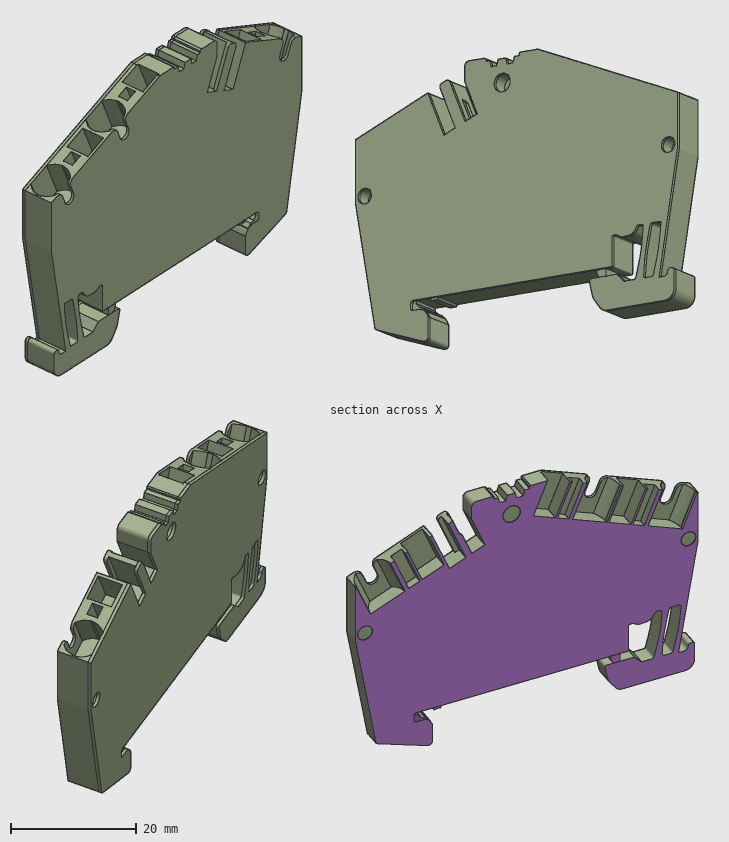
import cadquery as cq
import math

WIDTH = 6.1
LENGTH = 61.4
HEIGHT = 45.1
COVER_THICKNESS = 0.55
TILT = math.radians(22.5)
SIN, COS, TAN = math.sin(TILT), math.cos(TILT), math.tan(TILT)
HALF_LENGTH = LENGTH / 2

ROOF_FRONT_Y = -4.1
FRONT_SHOULDER_Z = HEIGHT - (HALF_LENGTH + ROOF_FRONT_Y) * TAN
BACK_SHOULDER_Z = 35.25
WAIST_Z = 24.8
ROOF_BACK_Y = 9.9

SLOT_ORIGIN_Y, SLOT_ORIGIN_Z = 13.8, 33.5
REAR_SLOT_WIDTH = 2.35
TONGUE_THICKNESS = 2.0
TONGUE_HEIGHT = 8.15
TONGUE_TIP_RADIUS = 0.6
SLOTS_TOTAL_WIDTH = 6.8
REAR_WEB_RECESS = 0.8
FRONT_WEB_RECESS = 0.3
FLANGE_THICKNESS = 0.7
RIB_X, RIB_WIDTH = 3.0, 0.9
RIB_HEIGHT, RIB_RAMP_HEIGHT = 5.05, 4.25
RIB_PROJECTION = 0.3

ROOF_STEP_Z = 44.6
ROOF_STEP_BACK_Y, ROOF_STEP_FRONT_Y = 5.8, -0.5
GROOVES = [(5.1, 3.5), (2.1, 0.35)]
GROOVE_FLOOR_Z = 43.55
GROOVE_TAPER = 0.3
ROOF_EDGE_DROP = 0.25
ROOF_BACK_BEVEL, ROOF_FRONT_BEVEL = 0.35, 0.2

SEAT_Z = 7.05
HOOK_NOTCH_Y = 20.15
HOOK_LEDGE_Z = 5.4
HOOK_TIP_Y = 16.8
SEAT_FRONT_Y = -18.25
FOOT_TOP_Z = 5.65
SPRING_TOP_Z = 13.2
SPRING_BOTTOM_Z = 4.3
LEG_BEND_RADIUS = 30.7
SEAT_PAD_HEIGHT = 0.35

LOCATING_HOLES = [(28.9, 25.65, 1.3), (-28.9, 25.65, 1.3), (2.7, 40.6, 1.55)]
LOCATING_HOLE_DEPTH = 3.1

FRONT, BACK = -1, 1
WELL_DEPTH = 6.75
FRONT_TERMINAL_Y = -5.8
FRONT_TERMINAL_PITCH = 13.5
FRONT_TERMINAL_COUNT = 2
BACK_TERMINAL_Y = 19.35
WELL_LEFT_X, WELL_RIGHT_X = 1.2, 5.6
DRIVER_WELL_LENGTH = 4.2
TEST_OFFSET, TEST_X, TEST_WIDTH, TEST_LENGTH = 3.6, 3.45, 1.9, 2.1
WIRE_OFFSET, WIRE_X, WIRE_RADIUS = 8.8, 3.1, 3.25
OUTER_FLAT_WIDTH, INNER_FLAT_WIDTH = 0.9, 0.5
FLAT_DEPTH = 0.03
NOTCH_WIDTH, NOTCH_DEPTH, NOTCH_FLARE = 2.2, 4.0, 1.1


def prism(corners, x_start, x_end):
    """Extrude a closed (Y, Z, corner radius) outline along X from x_start to x_end."""
    count = len(corners)
    runs = []
    for i in range(count):
        y, z, radius = corners[i]
        here = cq.Vector(y, z)
        if radius == 0:
            runs.append([here])
            continue
        back = (cq.Vector(*corners[i - 1][:2]) - here).normalized()
        ahead = (cq.Vector(*corners[(i + 1) % count][:2]) - here).normalized()
        half_angle = back.getAngle(ahead) / 2
        trim = radius / math.tan(half_angle)
        bisector = (back + ahead).normalized()
        middle = here + bisector * (radius / math.sin(half_angle) - radius)
        runs.append([here + back * trim, middle, here + ahead * trim])

    start = runs[0][-1]
    sketch = cq.Workplane("YZ", origin=(x_start, 0, 0)).moveTo(start.x, start.y)
    for run in runs[1:] + runs[:1]:
        sketch = sketch.lineTo(run[0].x, run[0].y)
        if len(run) == 3:
            sketch = sketch.threePointArc((run[1].x, run[1].y), (run[2].x, run[2].y))
    return sketch.close().extrude(x_end - x_start)


def slot_point(across, along, radius=0):
    """Outline corner given across (toward -Y) and along (upward) the leaning marker slots."""
    y = SLOT_ORIGIN_Y - across * COS + along * SIN
    z = SLOT_ORIGIN_Z + across * SIN + along * COS
    return (y, z, radius)


def roof_step_corners():
    """Bevelled step in the roof with its tapered grooves, from back to front."""
    corners = [
        (ROOF_STEP_BACK_Y + ROOF_BACK_BEVEL, HEIGHT, 0),
        (ROOF_STEP_BACK_Y, HEIGHT - ROOF_EDGE_DROP, 0),
        (ROOF_STEP_BACK_Y, ROOF_STEP_Z, 0),
    ]
    for back_y, front_y in GROOVES:
        corners += [
            (back_y, ROOF_STEP_Z, 0),
            (back_y - GROOVE_TAPER, GROOVE_FLOOR_Z, 0),
            (front_y + GROOVE_TAPER, GROOVE_FLOOR_Z, 0),
            (front_y, ROOF_STEP_Z, 0),
        ]
    corners += [
        (ROOF_STEP_FRONT_Y, ROOF_STEP_Z, 0),
        (ROOF_STEP_FRONT_Y, HEIGHT - ROOF_EDGE_DROP, 0),
        (ROOF_STEP_FRONT_Y - ROOF_FRONT_BEVEL, HEIGHT, 0),
    ]
    return corners


def upper_corners():
    """From the rear shoulder over the marker slots and roof to the front waist."""
    tongue_front = REAR_SLOT_WIDTH + TONGUE_THICKNESS
    rear_wall_top = (BACK_SHOULDER_Z - SLOT_ORIGIN_Z + (HALF_LENGTH - SLOT_ORIGIN_Y) * TAN) * COS
    block_wall_top = (ROOF_BACK_Y - SLOT_ORIGIN_Y + SLOTS_TOTAL_WIDTH * COS) / SIN
    return [
        (HALF_LENGTH, WAIST_Z, 0),
        (HALF_LENGTH, BACK_SHOULDER_Z, 0),
        slot_point(0, rear_wall_top),
        slot_point(0, 0),
        slot_point(REAR_SLOT_WIDTH, 0),
        slot_point(REAR_SLOT_WIDTH, TONGUE_HEIGHT, TONGUE_TIP_RADIUS),
        slot_point(tongue_front, TONGUE_HEIGHT, TONGUE_TIP_RADIUS),
        slot_point(tongue_front, 0),
        slot_point(SLOTS_TOTAL_WIDTH, 0),
        slot_point(SLOTS_TOTAL_WIDTH, block_wall_top),
        (ROOF_BACK_Y, HEIGHT, 0.9),
        *roof_step_corners(),
        (ROOF_FRONT_Y, HEIGHT, 0),
        (-HALF_LENGTH, FRONT_SHOULDER_Z, 0),
        (-HALF_LENGTH, WAIST_Z, 0),
    ]


def spring_foot_corners():
    """From the root of the outer spring leg around the foot to the front end of the rail seat."""
    return [
        (-27.2, 4.0, 0),
        (-28.8, 4.0, 0.75),
        (-28.85, 5.2, 0.55),
        (-30.1, 5.2, 0.55),
        (-30.1, 0.0, 1.85),
        (-16.35, 0.0, 1.55),
        (-14.55, 2.45, 2.45),
        (-13.8, FOOT_TOP_Z, 0.4),
        (-19.2, FOOT_TOP_Z, 0),
        (-20.5, SPRING_BOTTOM_Z, 0),
        (-22.65, SPRING_BOTTOM_Z, 0.4),
        (-23.9, 8.9, LEG_BEND_RADIUS),
        (-24.2, SPRING_TOP_Z, 0.4),
        (-23.1, SPRING_TOP_Z, 0.25),
        (-22.1, 11.8, 1.55),
        (-19.95, 11.65, 1.55),
        (-19.0, 12.2, 0.2),
        (SEAT_FRONT_Y, 12.2, 0.25),
        (SEAT_FRONT_Y, SEAT_Z, 0.25),
    ]


def hook_corners():
    """From the rear end of the rail seat around the fixed hook."""
    return [
        (HOOK_NOTCH_Y, SEAT_Z, 0.5),
        (HOOK_NOTCH_Y, HOOK_LEDGE_Z, 0.3),
        (17.55, HOOK_LEDGE_Z, 1.6),
        (HOOK_TIP_Y, 3.9, 0),
        (HOOK_TIP_Y, 0.0, 0.6),
        (17.75, 0.0, 0.9),
        (26.95, 3.3, 0.55),
    ]


def outline_prism(x_start, x_end):
    """Full side outline with the window between the two spring legs."""
    window = [
        (-27.55, SPRING_TOP_Z, 0.2),
        (-25.55, SPRING_TOP_Z, 0.4),
        (-24.45, 8.0, LEG_BEND_RADIUS),
        (-24.25, SPRING_BOTTOM_Z, 0.3),
        (-26.05, SPRING_BOTTOM_Z, 0.35),
        (-27.25, 9.0, LEG_BEND_RADIUS),
    ]
    body = prism(upper_corners() + spring_foot_corners() + hook_corners(), x_start, x_end)
    return body.cut(prism(window, x_start, x_end))


def locating_holes():
    holes = cq.Workplane("YZ")
    for y, z, radius in LOCATING_HOLES:
        holes = holes.add(cq.Workplane("YZ").center(y, z).circle(radius).extrude(LOCATING_HOLE_DEPTH))
    return holes.combine()


def terminal_openings(driver_y, side):
    """Driver well, test well and wire entry of one terminal, as a shape to cut away."""
    if side == FRONT:
        face_z = HEIGHT + (driver_y - ROOF_FRONT_Y) * TAN
    else:
        face_z = BACK_SHOULDER_Z + (HALF_LENGTH - driver_y) * TAN
    face = cq.Workplane(cq.Plane(origin=(0, driver_y, face_z), xDir=(1, 0, 0), normal=(0, side * SIN, COS)))

    def box(x_start, x_end, middle, length):
        return face.center((x_start + x_end) / 2, middle).rect(x_end - x_start, length).extrude(-WELL_DEPTH)

    driver_well = box(WELL_LEFT_X, WELL_RIGHT_X, 0, DRIVER_WELL_LENGTH)
    test_well = box(TEST_X - TEST_WIDTH / 2, TEST_X + TEST_WIDTH / 2, side * TEST_OFFSET, TEST_LENGTH)

    wire_y = side * WIRE_OFFSET
    wire_entry = face.center(WIRE_X, wire_y).circle(WIRE_RADIUS).extrude(-WELL_DEPTH)
    wire_entry = wire_entry.intersect(box(COVER_THICKNESS, WELL_RIGHT_X, wire_y, 2 * WIRE_RADIUS))
    for width, direction in [(OUTER_FLAT_WIDTH, side), (INNER_FLAT_WIDTH, -side)]:
        reach = WIRE_RADIUS + FLAT_DEPTH
        flat = box(WIRE_X - width / 2, WIRE_X + width / 2, wire_y + direction * reach / 2, reach)
        wire_entry = wire_entry.union(flat)

    return driver_well.union(test_well).union(wire_entry).union(wire_notch(driver_y, face_z, side))


def wire_notch(driver_y, face_z, side):
    """Flared U-shaped notch through the +X wall beside a wire entry."""
    half = NOTCH_WIDTH / 2
    mouth = half + NOTCH_FLARE
    corner = NOTCH_FLARE * (1 - math.sqrt(0.5))
    plane = cq.Plane(
        origin=(WIRE_X, driver_y + WIRE_OFFSET * side * COS, face_z - WIRE_OFFSET * SIN),
        xDir=(0, COS, -side * SIN),
        normal=(1, 0, 0),
    )
    return (
        cq.Workplane(plane)
        .moveTo(-mouth, 0)
        .threePointArc((-half - corner, -corner), (-half, -NOTCH_FLARE))
        .lineTo(-half, half - NOTCH_DEPTH)
        .threePointArc((0, -NOTCH_DEPTH), (half, half - NOTCH_DEPTH))
        .lineTo(half, -NOTCH_FLARE)
        .threePointArc((half + corner, -corner), (mouth, 0))
        .close()
        .extrude(WIDTH - WIRE_X)
    )


def tongue_recesses():
    """Pockets on both sides of the tongue that leave a thin web between two flanges."""
    tongue_front = REAR_SLOT_WIDTH + TONGUE_THICKNESS
    pockets = cq.Workplane("YZ")
    recesses = [(REAR_SLOT_WIDTH, REAR_WEB_RECESS), (tongue_front - FRONT_WEB_RECESS, FRONT_WEB_RECESS)]
    for start, depth in recesses:
        corners = [
            slot_point(start, 0),
            slot_point(start + depth, 0),
            slot_point(start + depth, TONGUE_HEIGHT),
            slot_point(start, TONGUE_HEIGHT),
        ]
        pockets = pockets.add(prism(corners, COVER_THICKNESS, WIDTH - FLANGE_THICKNESS))
    return pockets.combine()


def tongue_rib():
    """Small ramped rib on the front face of the tongue's web."""
    web_front = REAR_SLOT_WIDTH + TONGUE_THICKNESS - FRONT_WEB_RECESS
    corners = [
        slot_point(web_front, 0),
        slot_point(web_front + RIB_PROJECTION, 0),
        slot_point(web_front + RIB_PROJECTION, RIB_RAMP_HEIGHT),
        slot_point(web_front, RIB_HEIGHT),
    ]
    return prism(corners, RIB_X - RIB_WIDTH / 2, RIB_X + RIB_WIDTH / 2)


def make_cover():
    return outline_prism(0, COVER_THICKNESS).cut(locating_holes())


def make_housing():
    housing = outline_prism(COVER_THICKNESS, WIDTH).cut(locating_holes())
    housing = housing.cut(tongue_recesses()).union(tongue_rib())
    terminals = [(FRONT_TERMINAL_Y - i * FRONT_TERMINAL_PITCH, FRONT) for i in range(FRONT_TERMINAL_COUNT)]
    terminals.append((BACK_TERMINAL_Y, BACK))
    for driver_y, side in terminals:
        housing = housing.cut(terminal_openings(driver_y, side))
    return housing


def make_hook_pad(housing):
    """Rail contact filling the back of the hook notch and lying on the hook's ledge."""
    corners = [
        (HOOK_NOTCH_Y, HOOK_LEDGE_Z, 0),
        (HOOK_NOTCH_Y, SEAT_Z, 0),
        (19.35, SEAT_Z, 0),
        (19.45, 6.65, 0),
        (18.85, 5.95, 0),
        (18.2, 5.7, 0),
        (17.45, 5.05, 0),
    ]
    return prism(corners, COVER_THICKNESS, WIDTH).cut(housing)


def make_seat_pad():
    """Low rail contact under the seat."""
    bottom = SEAT_Z - SEAT_PAD_HEIGHT
    corners = [(16.8, SEAT_Z, 0), (15.15, SEAT_Z, 0), (15.4, bottom, 0), (16.6, bottom, 0)]
    return prism(corners, COVER_THICKNESS, WIDTH)


def make_foot_pad():
    """Rail contact between the seat and the top of the spring foot."""
    corners = [
        (-15.05, SEAT_Z, 0),
        (-16.75, SEAT_Z, 0),
        (-16.75, FOOT_TOP_Z, 0),
        (-15.5, FOOT_TOP_Z, 0),
        (-15.05, 6.3, 0),
    ]
    return prism(corners, COVER_THICKNESS, WIDTH)


cover = make_cover()
housing = make_housing()
hook_pad = make_hook_pad(housing)
seat_pad = make_seat_pad()
foot_pad = make_foot_pad()

result = cq.Compound.makeCompound(
    [cover.val(), housing.val(), hook_pad.val(), seat_pad.val(), foot_pad.val()]
)